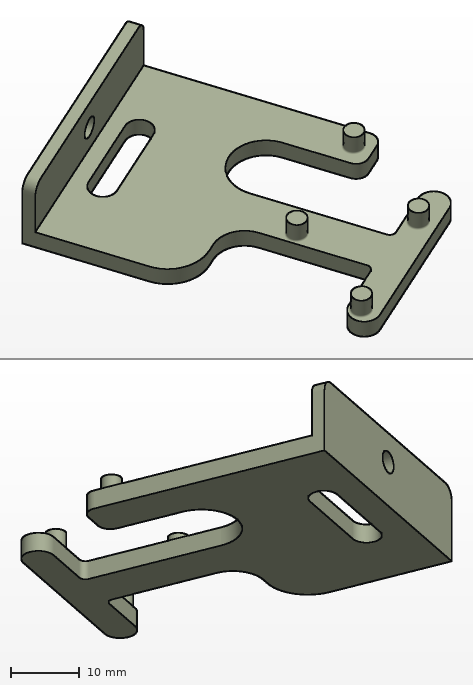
import cadquery as cq
import math

length = 55.0
width = 39.0
height = 12.0
plate_thickness = 3.0

wall_thickness = 2.1
wall_corner_radius = 2.0
wall_hole_diameter = 3.4
wall_hole_height = 7.2

slot_center_x = 7.1
slot_width = 4.5
slot_length = 17.6

short_arm_end_x = 40.0
short_arm_width = 7.0
short_arm_corner_radius = 2.0

gap_width = 11.8
gap_radius = gap_width / 2
gap_bottom_x = 21.3
gap_center_x = gap_bottom_x + gap_radius

long_arm_width = 7.2
crossbar_width = 5.0
crossbar_length = 30.0
crossbar_start_y = 1.6
crossbar_junction_radius = 1.0

body_end_x = 26.8
body_corner_radius = 6.6
step_inner_radius = 5.0

pin_diameter = 3.1
pin_top_z = 6.2
pin_foot_radius = 0.3
pin_positions = [(37.0, 35.5), (37.0, 15.0), (52.1, 24.5), (52.1, 4.0)]

short_arm_bottom_y = width - short_arm_width
long_arm_top_y = short_arm_bottom_y - gap_width
long_arm_bottom_y = long_arm_top_y - long_arm_width
crossbar_left_x = length - crossbar_width
crossbar_center_x = length - crossbar_width / 2

search_margin = 0.05


def block(x_min, x_max, y_min, y_max, z_max=plate_thickness):
    """Box standing on the bottom plane."""
    size = (x_max - x_min, y_max - y_min, z_max)
    return cq.Workplane("XY").box(*size, centered=False).translate((x_min, y_min, 0))


def vertical_edges_at(part, x, y_values, radius):
    """Round the vertical plate edges found at x and each of the y values."""
    for y in y_values:
        corner = cq.selectors.BoxSelector(
            (x - search_margin, y - search_margin, 0),
            (x + search_margin, y + search_margin, plate_thickness),
        )
        part = part.edges(corner).fillet(radius)
    return part


def make_plate():
    """Flat plate: wide body, short arm, round gap, long arm and crossbar."""
    body = block(0, body_end_x, 0, width)
    short_arm = block(0, short_arm_end_x, short_arm_bottom_y, width)
    long_arm = block(0, crossbar_center_x, long_arm_bottom_y, long_arm_top_y)
    crossbar = (
        cq.Workplane("XY")
        .center(crossbar_center_x, crossbar_start_y + crossbar_length / 2)
        .slot2D(crossbar_length, crossbar_width, 90)
        .extrude(plate_thickness)
    )
    gap_backing = block(body_end_x, gap_center_x, long_arm_top_y, short_arm_bottom_y)
    gap = (
        cq.Workplane("XY")
        .center(gap_center_x, long_arm_top_y + gap_radius)
        .circle(gap_radius)
        .extrude(plate_thickness)
    )
    plate = body.union(short_arm).union(long_arm).union(gap_backing).cut(gap).union(crossbar)

    short_arm_ys = (short_arm_bottom_y, width)
    long_arm_ys = (long_arm_bottom_y, long_arm_top_y)
    plate = vertical_edges_at(plate, short_arm_end_x, short_arm_ys, short_arm_corner_radius)
    plate = vertical_edges_at(plate, crossbar_left_x, long_arm_ys, crossbar_junction_radius)
    plate = vertical_edges_at(plate, body_end_x, [0], body_corner_radius)
    plate = vertical_edges_at(plate, body_end_x, [long_arm_bottom_y], step_inner_radius)
    return plate


def make_wall():
    """Upright wall with rounded top corners and a central hole."""
    wall = block(0, wall_thickness, 0, width, height)
    wall = wall.edges("|X and >Z").fillet(wall_corner_radius)
    hole = (
        cq.Workplane("YZ")
        .center(width / 2, wall_hole_height)
        .circle(wall_hole_diameter / 2)
        .extrude(wall_thickness)
    )
    return wall.cut(hole)


def make_slot():
    """Cutter for the adjusting slot, long in Y."""
    return (
        cq.Workplane("XY")
        .center(slot_center_x, width / 2)
        .slot2D(slot_length, slot_width, 90)
        .extrude(plate_thickness)
    )


def make_pin(x, y):
    """Revolved pin whose foot flares out onto the plate in a concave arc."""
    radius = pin_diameter / 2
    arc_offset = pin_foot_radius * (1 - math.cos(math.pi / 4))
    foot_end = (radius + pin_foot_radius, plate_thickness)
    foot_middle = (radius + arc_offset, plate_thickness + arc_offset)
    foot_top = (radius, plate_thickness + pin_foot_radius)
    return (
        cq.Workplane("XZ")
        .moveTo(0, 0)
        .lineTo(radius, 0)
        .lineTo(radius, plate_thickness)
        .lineTo(*foot_end)
        .threePointArc(foot_middle, foot_top)
        .lineTo(radius, pin_top_z)
        .lineTo(0, pin_top_z)
        .close()
        .revolve(360, (0, 0, 0), (0, 1, 0))
        .translate((x, y, 0))
    )


result = make_plate().cut(make_slot()).union(make_wall())
for pin_x, pin_y in pin_positions:
    result = result.union(make_pin(pin_x, pin_y))